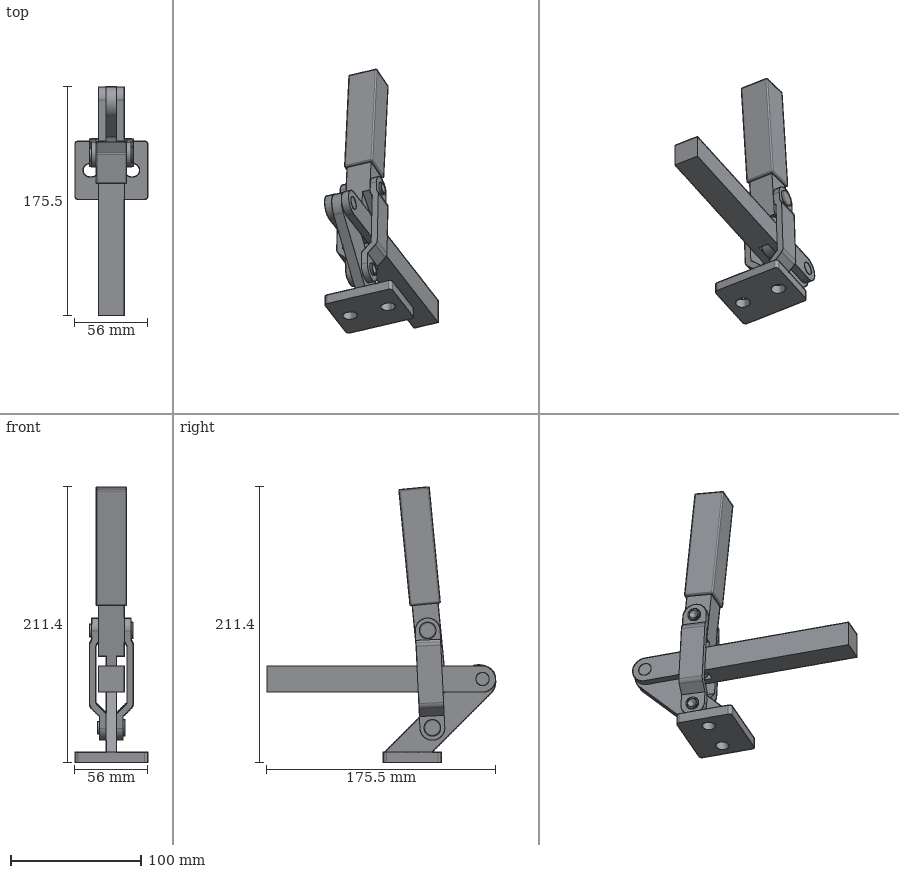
import cadquery as cq
import math

OVERALL_Y = 175.5
OVERALL_Z = 211.4
WEB_THICK = 8.0
BAR = 20.0

BASE_X, BASE_Y, BASE_Z = 56.0, 44.8, 8.0
BASE_CORNER_R = 2.5
SLOT_WIDTH = 10.0
SLOT_LENGTH = 11.5
SLOT_X = 15.9

WEB_END_R = 12.9
WEB_END_Y, WEB_END_Z = 51.2, 62.1

ARM_Z = 64.0
ARM_END_Y = 54.0
ARM_FRONT_Y = WEB_END_Y + WEB_END_R - OVERALL_Y
FORK_BOTTOM_Y = 4.2
ARM_PIN_R = 5.0
ARM_PIN_RECESS = 0.2

LOW_PIN_Y, LOW_PIN_Z = 15.5, 26.6
TOP_PIN_Y, TOP_PIN_Z = 11.8, 101.2
PIN_R = 4.9
PIN_PROUD = 1.7
DISH_R = 3.5
DISH_DEPTH = 2.1
HEAD_R = 6.3
HEAD_THICK = 1.5
HEAD_EDGE_R = 0.6

LINK_WIDTH = 19.0
LINK_THICK = 5.0
LINK_MIDDLE_X = 11.8
LOW_BEND = 9.0
TOP_BEND = 7.2
LOW_BEND_ANGLE = 45
TOP_BEND_ANGLE = 30
LINK_LENGTH = math.hypot(TOP_PIN_Y - LOW_PIN_Y, TOP_PIN_Z - LOW_PIN_Z)
LINK_TILT = math.degrees(math.atan2(LOW_PIN_Y - TOP_PIN_Y, TOP_PIN_Z - LOW_PIN_Z))

LEVER_TILT = 5.5
SHOULDER_FRONT = -19.0
SHOULDER_REAR = -7.5
LEVER_COS = math.cos(math.radians(LEVER_TILT))
LEVER_SIN = math.sin(math.radians(LEVER_TILT))
TONGUE_PIVOT = (ARM_Z - TOP_PIN_Z) / LEVER_COS
GRIP_WALL = 1.7
GRIP_SIDE = BAR + 2 * GRIP_WALL
GRIP_START = 20.0
GRIP_EDGE_R = 1.0
GRIP_EDGE_RISE = (GRIP_SIDE / 2 - GRIP_EDGE_R) * LEVER_SIN + GRIP_EDGE_R
GRIP_END = (OVERALL_Z - TOP_PIN_Z - GRIP_EDGE_RISE) / LEVER_COS + GRIP_EDGE_R


def cylinder_x(x_start, x_end, y, z, radius):
    """Cylinder along X between two X positions."""
    return (cq.Workplane("YZ", origin=(x_start, 0, 0)).center(y, z)
            .circle(radius).extrude(x_end - x_start))


def tilt_onto_pin(body, angle, y, z):
    """Lean a body built upright on the origin toward -Y and move it to a pin."""
    return body.rotate((0, 0, 0), (1, 0, 0), angle).translate((0, y, z))


def make_base():
    plate = (cq.Workplane("XY").rect(BASE_X, BASE_Y).extrude(BASE_Z)
             .edges("|Z").fillet(BASE_CORNER_R))
    slots = (cq.Workplane("XY").pushPoints([(-SLOT_X, 0), (SLOT_X, 0)])
             .slot2D(SLOT_LENGTH, SLOT_WIDTH).extrude(BASE_Z))
    return plate.cut(slots)


def make_web():
    tangent = WEB_END_R / math.sqrt(2)
    run = WEB_END_R * math.sqrt(2)
    foot_y = WEB_END_Y - (WEB_END_Z - BASE_Z)
    return (cq.Workplane("YZ")
            .moveTo(foot_y - run, BASE_Z)
            .lineTo(WEB_END_Y - tangent, WEB_END_Z + tangent)
            .threePointArc((WEB_END_Y + tangent, WEB_END_Z + tangent),
                           (WEB_END_Y + tangent, WEB_END_Z - tangent))
            .lineTo(foot_y + run, BASE_Z)
            .close().extrude(WEB_THICK / 2, both=True))


def make_arm():
    half = BAR / 2
    bar = (cq.Workplane("YZ")
           .moveTo(ARM_FRONT_Y, ARM_Z - half)
           .lineTo(ARM_END_Y, ARM_Z - half)
           .threePointArc((ARM_END_Y + half, ARM_Z), (ARM_END_Y, ARM_Z + half))
           .lineTo(ARM_FRONT_Y, ARM_Z + half)
           .close().extrude(half, both=True))
    slot_length = ARM_END_Y + half - FORK_BOTTOM_Y
    slot = (cq.Workplane("XY").box(WEB_THICK, slot_length, BAR)
            .translate((0, FORK_BOTTOM_Y + slot_length / 2, ARM_Z)))
    bar = bar.cut(slot)
    for side in (-1, 1):
        bar = bar.cut(cylinder_x(side * (half - ARM_PIN_RECESS), side * half,
                                 ARM_END_Y, ARM_Z, ARM_PIN_R))
    return bar


def make_link():
    """Link on the +X side, bent out around the arm by a bend pair near each pin."""
    low_x = WEB_THICK / 2
    top_x = BAR / 2
    end_r = LINK_WIDTH / 2
    low_rise = (LINK_MIDDLE_X - low_x) / math.tan(math.radians(LOW_BEND_ANGLE))
    top_rise = (LINK_MIDDLE_X - top_x) / math.tan(math.radians(TOP_BEND_ANGLE))
    low_shift = LINK_THICK * math.tan(math.radians(LOW_BEND_ANGLE / 2))
    top_shift = LINK_THICK * math.tan(math.radians(TOP_BEND_ANGLE / 2))
    low = LOW_BEND
    top = LINK_LENGTH - TOP_BEND
    outline = [
        (low_x, -end_r),
        (low_x, low + low_shift),
        (LINK_MIDDLE_X, low + low_shift + low_rise),
        (LINK_MIDDLE_X, top - top_shift - top_rise),
        (top_x, top - top_shift),
        (top_x, LINK_LENGTH + end_r),
        (top_x + LINK_THICK, LINK_LENGTH + end_r),
        (top_x + LINK_THICK, top),
        (LINK_MIDDLE_X + LINK_THICK, top - top_rise),
        (LINK_MIDDLE_X + LINK_THICK, low + low_rise),
        (low_x + LINK_THICK, low),
        (low_x + LINK_THICK, -end_r),
    ]
    strip = cq.Workplane("XZ").polyline(outline).close().extrude(end_r, both=True)
    strip = strip.faces(">X").edges("|Y").fillet(LINK_THICK)
    rounded = (cq.Workplane("YZ").center(0, LINK_LENGTH / 2)
               .slot2D(LINK_LENGTH + LINK_WIDTH, LINK_WIDTH, 90)
               .extrude(LINK_MIDDLE_X + LINK_THICK))
    return strip.intersect(rounded)


def make_links():
    link = make_link()
    pair = link.union(link.mirror("YZ"))
    return tilt_onto_pin(pair, LINK_TILT, LOW_PIN_Y, LOW_PIN_Z)


def make_pin(outer_x, y, z):
    """Pin through both links: dished end on -X, flat riveted head on +X."""
    shank = cylinder_x(-outer_x - PIN_PROUD, outer_x, y, z, PIN_R)
    head = (cylinder_x(outer_x, outer_x + HEAD_THICK, y, z, HEAD_R)
            .faces(">X").edges().fillet(HEAD_EDGE_R))
    dish_mouth = cq.Vector(-outer_x - PIN_PROUD, y, z)
    dish = cq.Workplane(cq.Solid.makeCone(DISH_R, 0, DISH_DEPTH, dish_mouth, cq.Vector(1, 0, 0)))
    return shank.union(head), dish


def make_lever():
    half = BAR / 2
    bar_end = GRIP_END - GRIP_WALL
    bar = (cq.Workplane("YZ")
           .moveTo(-half, SHOULDER_FRONT)
           .lineTo(half, SHOULDER_REAR)
           .lineTo(half, bar_end)
           .lineTo(-half, bar_end)
           .close().extrude(half, both=True))
    tongue = (cq.Workplane("YZ")
              .moveTo(-half, bar_end)
              .lineTo(-half, TONGUE_PIVOT)
              .threePointArc((0, TONGUE_PIVOT - half), (half, TONGUE_PIVOT))
              .lineTo(half, bar_end)
              .close().extrude(WEB_THICK / 2, both=True))
    grip = (cq.Workplane("XY", origin=(0, 0, GRIP_START))
            .rect(GRIP_SIDE, GRIP_SIDE).extrude(GRIP_END - GRIP_START)
            .edges().fillet(GRIP_EDGE_R))
    return tilt_onto_pin(bar.union(tongue).union(grip), LEVER_TILT, TOP_PIN_Y, TOP_PIN_Z)


low_pin, low_dish = make_pin(WEB_THICK / 2 + LINK_THICK, LOW_PIN_Y, LOW_PIN_Z)
top_pin, top_dish = make_pin(BAR / 2 + LINK_THICK, TOP_PIN_Y, TOP_PIN_Z)

result = make_base()
for body in (make_web(), make_arm(), make_lever(), make_links(), low_pin, top_pin):
    result = result.union(body)
for dish in (low_dish, top_dish):
    result = result.cut(dish)